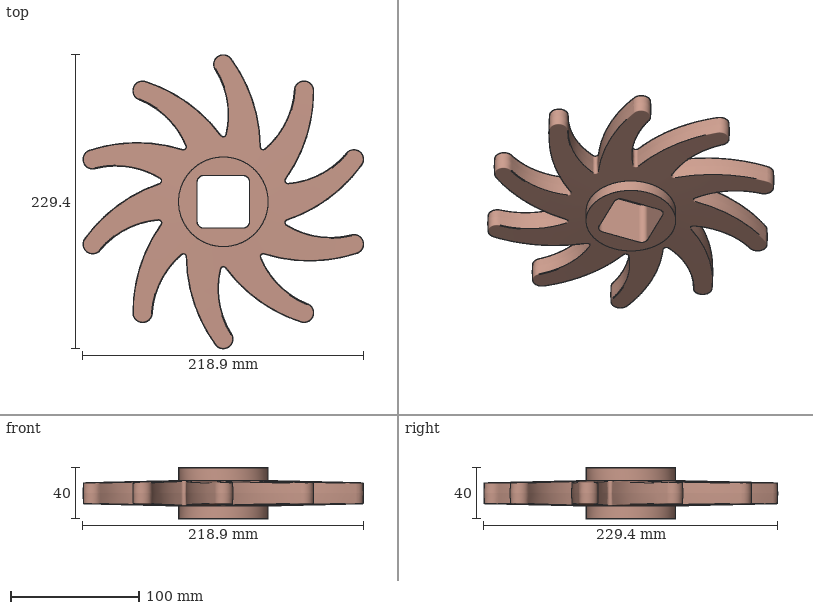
import cadquery as cq
import math

HUB_DIAMETER = 70.0
HUB_HEIGHT = 40.0
BORE_SIDE = 40.8
BORE_CORNER_RADIUS = 5.0

ARM_COUNT = 10
ARM_PITCH = 360 / ARM_COUNT
OUTER_RADIUS = 114.7
TIP_RADIUS = 7.5
CONCAVE_RADIUS = 65.6
CONVEX_RADIUS = 118.0
CONCAVE_DIRECTION = 212.4
CONVEX_DIRECTION = 216.3
ROOT_RADIUS = 2.0

TIP_THICKNESS = 16.3
FACE_SLOPE = 1.3
WALL_DRAFT = 2
EDGE_RADIUS = 0.5


def polar(origin, radius, degrees):
    """Point at a distance and direction from the origin."""
    angle = math.radians(degrees)
    return (origin[0] + radius * math.cos(angle), origin[1] + radius * math.sin(angle))


def bearing(start, end):
    """Direction from start to end, in degrees."""
    return math.degrees(math.atan2(end[1] - start[1], end[0] - start[0]))


def turned(point, degrees):
    """Point turned about the part axis."""
    return polar((0, 0), math.hypot(*point), bearing((0, 0), point) + degrees)


def arc_middle(center, start, end):
    """Middle of the shorter arc from start to end."""
    halfway = ((start[0] + end[0]) / 2, (start[1] + end[1]) / 2)
    return polar(center, math.dist(center, start), bearing(center, halfway))


def root_center(concave_center, convex_center):
    """Centre of the root arc: inside the concave circle and outside the neighbour's convex circle."""
    to_concave = CONCAVE_RADIUS - ROOT_RADIUS
    to_convex = CONVEX_RADIUS + ROOT_RADIUS
    span = math.dist(concave_center, convex_center)
    cosine = (to_concave**2 + span**2 - to_convex**2) / (2 * to_concave * span)
    turn = math.degrees(math.acos(cosine))
    return polar(concave_center, to_concave, bearing(concave_center, convex_center) + turn)


def arm_outline():
    """Closed mid-plane outline of all arms, drawn counter-clockwise."""
    tip_center = (0, OUTER_RADIUS - TIP_RADIUS)
    tip_end = (0, OUTER_RADIUS)
    concave_center = polar(tip_center, CONCAVE_RADIUS + TIP_RADIUS, CONCAVE_DIRECTION)
    convex_center = polar(tip_center, CONVEX_RADIUS - TIP_RADIUS, CONVEX_DIRECTION)
    next_convex_center = turned(convex_center, ARM_PITCH)
    fillet_center = root_center(concave_center, next_convex_center)

    tip_start = polar(tip_center, TIP_RADIUS, CONVEX_DIRECTION - 180)
    tip_finish = polar(tip_center, TIP_RADIUS, CONCAVE_DIRECTION)
    root_start = polar(concave_center, CONCAVE_RADIUS, bearing(concave_center, fillet_center))
    root_finish = polar(next_convex_center, CONVEX_RADIUS, bearing(next_convex_center, fillet_center))
    arm_start = turned(root_finish, -ARM_PITCH)

    arcs = [
        (arc_middle(convex_center, arm_start, tip_start), tip_start),
        (tip_end, tip_finish),
        (arc_middle(concave_center, tip_finish, root_start), root_start),
        (arc_middle(fillet_center, root_start, root_finish), root_finish),
    ]
    outline = cq.Workplane("XY").moveTo(*arm_start)
    for arm in range(ARM_COUNT):
        for middle, end in arcs:
            outline = outline.threePointArc(turned(middle, arm * ARM_PITCH), turned(end, arm * ARM_PITCH))
    return outline.close()


def tapered_disc():
    """Disc that thins towards its rim and bounds the arm faces."""
    rim_radius = OUTER_RADIUS + TIP_RADIUS
    slope = math.tan(math.radians(FACE_SLOPE))
    rim_height = TIP_THICKNESS / 2 - TIP_RADIUS * slope
    axis_height = TIP_THICKNESS / 2 + OUTER_RADIUS * slope
    profile = [(0, -axis_height), (rim_radius, -rim_height), (rim_radius, rim_height), (0, axis_height)]
    return cq.Workplane("XZ").polyline(profile).close().revolve(360, (0, 0, 0), (0, 1, 0))


def blade():
    """Drafted arms with sloping faces and rounded rims."""
    upper = arm_outline().extrude(HUB_HEIGHT / 2, taper=WALL_DRAFT)
    lower = upper.mirror("XY")
    body = upper.union(lower).intersect(tapered_disc())
    return body.faces(">Z or <Z").edges().fillet(EDGE_RADIUS)


hub = cq.Workplane("XY").circle(HUB_DIAMETER / 2).extrude(HUB_HEIGHT / 2, both=True)
bore = (
    cq.Workplane("XY")
    .rect(BORE_SIDE, BORE_SIDE)
    .extrude(HUB_HEIGHT / 2, both=True)
    .edges("|Z")
    .fillet(BORE_CORNER_RADIUS)
)
result = blade().union(hub).cut(bore)